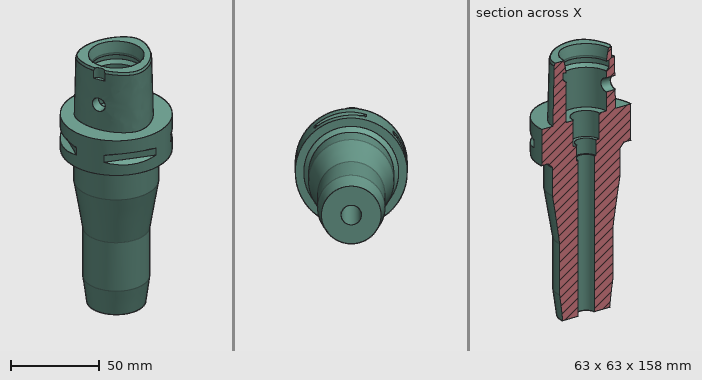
import cadquery as cq
import math

TOTAL_HEIGHT = 158.0
NOSE_TOP = 16.5
NECK_TOP = 47.5
CONE_TOP = 77.9
COLLAR_TOP = 95.0
FLANGE_BOTTOM = 97.8
FLANGE_TOP = 120.1

NOSE_RADIUS = 16.7
NECK_RADIUS = 19.0
COLLAR_RADIUS = 24.0
COLLAR_BEVEL_RADIUS = 26.7
FLANGE_RADIUS = 63.0 / 2

SHANK_RADIUS = 22.3
SHANK_LOBE = 1.4
SHANK_SLOPE = 0.025
SHANK_POINTS = 48
CHAMFER_HEIGHT = 1.6
CHAMFER_INSET = 0.6

MOUTH_RADIUS = 15.6
LAND_RADIUS = 14.2
GROOVE_RADIUS = 16.1
BORE_RADIUS = 14.0
THREAD_RADIUS = 9.0
STEP_RADIUS = 6.6
THROUGH_RADIUS = 5.7
MOUTH_DEPTH = 6.6
LAND_DEPTH = 7.9
GROOVE_BOTTOM_DEPTH = 11.7
BORE_START_DEPTH = 13.7
BORE_DEPTH = 37.9
THREAD_DEPTH = 53.7
STEP_DEPTH = 63.2

NOTCH_RADIUS = 4.3
NOTCH_CENTER_Y = -22.1
NOTCH_DEPTH = 6.3
SIDE_HOLE_RADIUS = 4.1
SIDE_HOLE_HEIGHT = 135.7

SLOT_COUNT = 4
SLOT_FIRST_ANGLE = 45
SLOT_HEIGHT = 108.0
SLOT_FLOOR_RADIUS = 27.6
SLOT_FLOOR_WIDTH = 4.5
SLOT_MOUTH_WIDTH = 7.6


def body():
    """Turned body from the nose up to the top of the flange."""
    profile = [
        (0, 0),
        (NOSE_RADIUS, 0),
        (NECK_RADIUS, NOSE_TOP),
        (NECK_RADIUS, NECK_TOP),
        (COLLAR_RADIUS, CONE_TOP),
        (COLLAR_RADIUS, COLLAR_TOP),
        (COLLAR_BEVEL_RADIUS, FLANGE_BOTTOM),
        (FLANGE_RADIUS, FLANGE_BOTTOM),
        (FLANGE_RADIUS, FLANGE_TOP),
        (0, FLANGE_TOP),
    ]
    return cq.Workplane("XZ").polyline(profile).close().revolve(360, (0, 0), (0, 1))


def shank_wire(mean_radius, height):
    """Constant-width three-lobed curve with one lobe pointing to +Y."""
    points = []
    for i in range(SHANK_POINTS):
        angle = 2 * math.pi * i / SHANK_POINTS
        support = mean_radius + SHANK_LOBE * math.cos(3 * angle)
        support_rate = -3 * SHANK_LOBE * math.sin(3 * angle)
        x = -support * math.sin(angle) - support_rate * math.cos(angle)
        y = support * math.cos(angle) - support_rate * math.sin(angle)
        points.append(cq.Vector(x, y, height))
    return cq.Wire.assembleEdges([cq.Edge.makeSpline(points, periodic=True)])


def shank():
    """Tapered shank with a chamfered top edge."""
    chamfer_start = TOTAL_HEIGHT - CHAMFER_HEIGHT
    upper_radius = SHANK_RADIUS - SHANK_SLOPE * (chamfer_start - FLANGE_TOP)
    lower_wire = shank_wire(SHANK_RADIUS, FLANGE_TOP)
    upper_wire = shank_wire(upper_radius, chamfer_start)
    top_wire = shank_wire(upper_radius - CHAMFER_INSET, TOTAL_HEIGHT)
    taper = cq.Solid.makeLoft([lower_wire, upper_wire], True)
    chamfer = cq.Solid.makeLoft([upper_wire, top_wire], True)
    return cq.Workplane(taper).union(cq.Workplane(chamfer))


def bore():
    """Stepped bore with a conical mouth, a short land and an undercut groove."""
    radius_and_depth = [
        (0, 0),
        (MOUTH_RADIUS, 0),
        (LAND_RADIUS, MOUTH_DEPTH),
        (LAND_RADIUS, LAND_DEPTH),
        (GROOVE_RADIUS, LAND_DEPTH),
        (GROOVE_RADIUS, GROOVE_BOTTOM_DEPTH),
        (BORE_RADIUS, BORE_START_DEPTH),
        (BORE_RADIUS, BORE_DEPTH),
        (THREAD_RADIUS, BORE_DEPTH),
        (THREAD_RADIUS, THREAD_DEPTH),
        (STEP_RADIUS, THREAD_DEPTH),
        (STEP_RADIUS, STEP_DEPTH),
        (THROUGH_RADIUS, STEP_DEPTH),
        (THROUGH_RADIUS, TOTAL_HEIGHT),
        (0, TOTAL_HEIGHT),
    ]
    profile = [(radius, TOTAL_HEIGHT - depth) for radius, depth in radius_and_depth]
    return cq.Workplane("XZ").polyline(profile).close().revolve(360, (0, 0), (0, 1))


def notch():
    """Arc-shaped orientation notch in the rim."""
    plane = cq.Workplane("XY", origin=(0, NOTCH_CENTER_Y, TOTAL_HEIGHT - NOTCH_DEPTH))
    return plane.circle(NOTCH_RADIUS).extrude(NOTCH_DEPTH)


def side_hole():
    """Radial hole from the -Y side into the bore."""
    plane = cq.Workplane("XZ", origin=(0, 0, SIDE_HOLE_HEIGHT))
    return plane.circle(SIDE_HOLE_RADIUS).extrude(FLANGE_RADIUS)


def gripper_slot(angle):
    """Straight flared slot cut across the flange rim."""
    floor_half = SLOT_FLOOR_WIDTH / 2
    mouth_half = SLOT_MOUTH_WIDTH / 2
    section = [
        (SLOT_FLOOR_RADIUS, SLOT_HEIGHT - floor_half),
        (FLANGE_RADIUS, SLOT_HEIGHT - mouth_half),
        (FLANGE_RADIUS, SLOT_HEIGHT + mouth_half),
        (SLOT_FLOOR_RADIUS, SLOT_HEIGHT + floor_half),
    ]
    slot = cq.Workplane("XZ").polyline(section).close().extrude(FLANGE_RADIUS, both=True)
    return slot.rotate((0, 0, 0), (0, 0, 1), angle)


result = body().union(shank()).cut(bore()).cut(notch()).cut(side_hole())
for index in range(SLOT_COUNT):
    result = result.cut(gripper_slot(SLOT_FIRST_ANGLE + index * 360 / SLOT_COUNT))